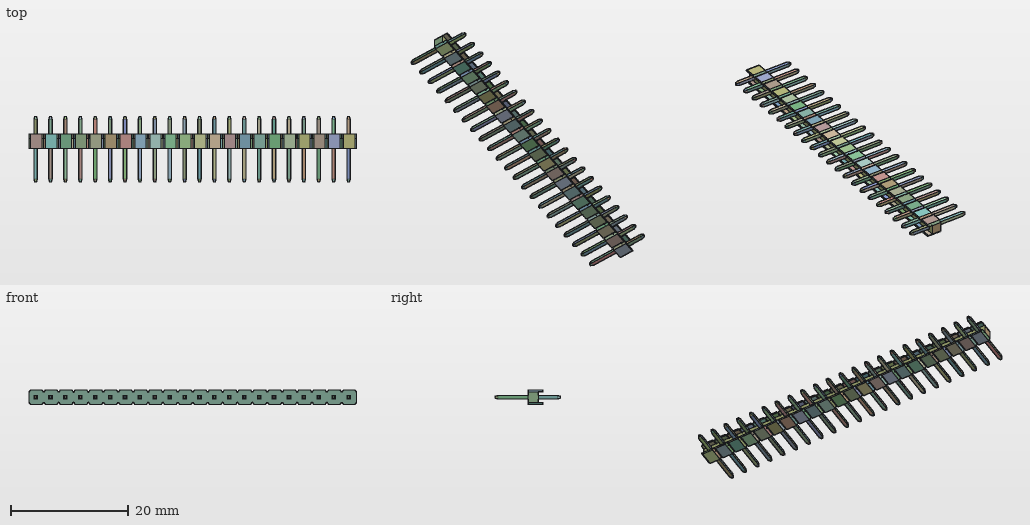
import cadquery as cq

strip_length = 55.9
pin_length = 11.2
housing_height = 2.5

pin_count = 22
pitch = strip_length / pin_count
first_cell_x = (pitch - strip_length) / 2

pin_width = 0.6
pin_front_y = -6.95
pin_offset_x = -0.1
tip_length = 0.5
tip_width = 0.35

housing_depth = 2.5
chamfer_width = 0.31
chamfer_height = 0.4
channel_depth = 0.8
channel_height = 1.8


def make_cell():
    """One housing cell: a block with chamfered long edges, cut along its back by a channel."""
    flat_half_width = pitch / 2 - chamfer_width
    side_half_height = housing_height / 2 - chamfer_height
    block = (
        cq.Workplane("XZ")
        .moveTo(-flat_half_width, housing_height / 2)
        .lineTo(flat_half_width, housing_height / 2)
        .lineTo(pitch / 2, side_half_height)
        .lineTo(pitch / 2, -side_half_height)
        .lineTo(flat_half_width, -housing_height / 2)
        .lineTo(-flat_half_width, -housing_height / 2)
        .lineTo(-pitch / 2, -side_half_height)
        .lineTo(-pitch / 2, side_half_height)
        .close()
        .extrude(housing_depth / 2, both=True)
    )
    channel_y = (housing_depth - channel_depth) / 2
    channel = cq.Workplane("XY").box(pitch, channel_depth, channel_height).translate((0, channel_y, 0))
    return block.cut(channel)


def make_tip():
    """Tapered pin end that is full width at Y = 0 and narrows toward -Y."""
    return (
        cq.Workplane("XZ")
        .rect(pin_width, pin_width)
        .workplane(offset=tip_length)
        .rect(tip_width, tip_width)
        .loft(ruled=True)
    )


def make_pin():
    """Square pin along Y with a tapered tip at both ends."""
    shank_length = pin_length - 2 * tip_length
    shank_front_y = pin_front_y + tip_length
    shank_back_y = shank_front_y + shank_length
    shank_middle_y = shank_front_y + shank_length / 2
    shank = cq.Workplane("XY").box(pin_width, shank_length, pin_width).translate((0, shank_middle_y, 0))
    front_tip = make_tip().translate((0, shank_front_y, 0))
    back_tip = make_tip().mirror("XZ").translate((0, shank_back_y, 0))
    return shank.union(front_tip).union(back_tip)


pinned_cell = make_cell().union(make_pin().translate((pin_offset_x, 0, 0)))
result = pinned_cell.translate((first_cell_x, 0, 0))
for index in range(1, pin_count):
    result = result.union(pinned_cell.translate((first_cell_x + index * pitch, 0, 0)))